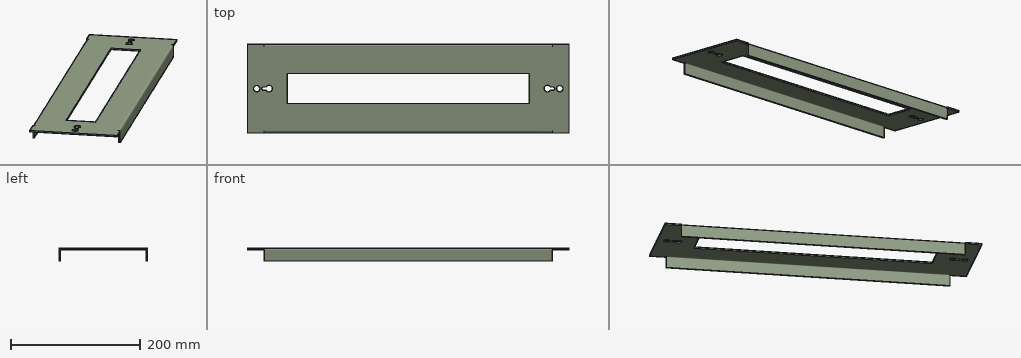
import cadquery as cq

plate_length = 497.5
plate_width = 137.5
total_height = 20.0
sheet_thickness = 2.5

flange_length = 445.5
bend_inner_radius = 1.0
bend_outer_radius = bend_inner_radius + sheet_thickness

window_length = 374.0
window_width = 46.0

hole_diameter = 9.5
hole_edge_distance = 14.5
keyhole_head_diameter = 10.0
keyhole_spacing = 19.0
keyhole_slot_width = 5.0
keyhole_slot_reach = 8.5

hole_x = plate_length / 2 - hole_edge_distance
keyhole_x = hole_x - keyhole_spacing
cutter_height = 4 * sheet_thickness


def make_channel_block(width, top_z):
    """Block as long as the flanges; selects its long top edges for rounding."""
    block = cq.Workplane("XY").box(flange_length, width, total_height)
    return block.translate((0, 0, top_z - total_height / 2)).edges("|X and >Z")


def make_flanged_channel():
    """Inverted U channel with rounded bends."""
    outer = make_channel_block(plate_width, 0).fillet(bend_outer_radius)
    inner_width = plate_width - 2 * sheet_thickness
    inner = make_channel_block(inner_width, -sheet_thickness).fillet(bend_inner_radius)
    return outer.cut(inner)


def make_end_tab(side):
    """Flat sheet beyond the flanges at one end (side = -1 or 1)."""
    tab_length = (plate_length - flange_length) / 2
    tab_x = (flange_length + tab_length) / 2
    tab = cq.Workplane("XY").box(tab_length, plate_width, sheet_thickness)
    return tab.translate((side * tab_x, 0, -sheet_thickness / 2))


def make_window_cutter():
    """Rectangular window through the sheet."""
    return cq.Workplane("XY").box(window_length, window_width, cutter_height)


def make_mounting_cutter(side):
    """Round hole and keyhole at one end (side = -1 or 1)."""
    base = cq.Workplane("XY").workplane(offset=-cutter_height / 2)
    hole = base.center(side * hole_x, 0).circle(hole_diameter / 2).extrude(cutter_height)
    head = base.center(side * keyhole_x, 0).circle(keyhole_head_diameter / 2).extrude(cutter_height)
    slot_x = keyhole_x + keyhole_slot_reach / 2
    slot_length = keyhole_slot_reach + keyhole_slot_width
    slot = base.center(side * slot_x, 0).slot2D(slot_length, keyhole_slot_width).extrude(cutter_height)
    return hole.union(head).union(slot)


result = make_flanged_channel()
for end in (-1, 1):
    result = result.union(make_end_tab(end))
    result = result.cut(make_mounting_cutter(end))
result = result.cut(make_window_cutter())